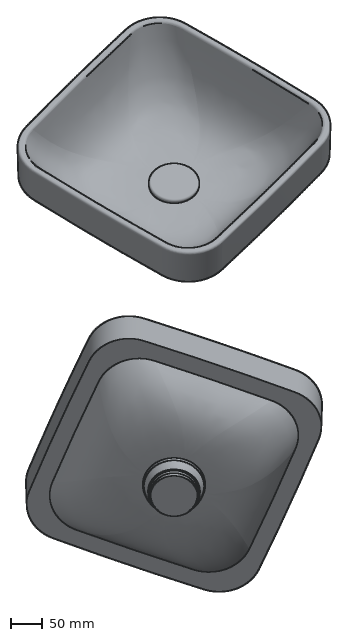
import cadquery as cq
import math


half_width = 200.0
total_height = 167.0
skirt_height = 71.0
skirt_draft = 1.0
rim_half_width = 188.5
wall = 12.0

side_radius = 5198.0
rim_corner_centre = 128.0
corner_power = 2.5

bowl_power = 5
bowl_floor = 120.0
bowl_floor_half_width = 44.0
under_floor = bowl_floor + wall
under_top_half_width = 198.5
bowl_section_count = 9
buried_half_width = 174.0

rim_outer_fillet = 4.0
rim_inner_fillet = 4.8

neck_top_radius = 50.0
neck_belt_radius = 48.0
belt_top_depth = 136.5
belt_bottom_depth = 140.8
neck_shoulder_radius = 41.5
neck_shoulder_depth = 153.5
neck_shoulder_bulge = 0.8
neck_collar_radius = 39.0
tail_radius = 37.5
tail_top_depth = 158.7

cover_radius = 40.5
cover_top_depth = 114.5
cover_thickness = 12.0
cover_fillet = 3.5
seat_depth = cover_top_depth + cover_thickness

selection_margin = 0.5
seat_fillet = 1.0


def quarter_turned(x, y, quarter):
    """Point turned about Z by a number of quarter turns."""
    for _ in range(quarter):
        x, y = -y, x
    return (x, y)


def rounded_square(half, depth):
    """Square wire of bulging sides and tangent corner arcs, at the given depth below the rim."""
    squareness = min(1, half / rim_half_width) ** corner_power
    corner_centre = rim_corner_centre * squareness
    side_centre = half - side_radius
    centre_gap = math.hypot(corner_centre, corner_centre - side_centre)
    corner_radius = side_radius - centre_gap
    tangent_along = side_radius * corner_centre / centre_gap
    tangent_out = side_centre + side_radius * (corner_centre - side_centre) / centre_gap
    corner_mid = corner_centre + corner_radius / math.sqrt(2)

    outline = cq.Workplane("XY", origin=(0, 0, -depth)).moveTo(tangent_out, -tangent_along)
    for quarter in range(4):
        side_mid = quarter_turned(half, 0, quarter)
        corner_start = quarter_turned(tangent_out, tangent_along, quarter)
        corner_peak = quarter_turned(corner_mid, corner_mid, quarter)
        corner_end = quarter_turned(tangent_along, tangent_out, quarter)
        outline = outline.threePointArc(side_mid, corner_start).threePointArc(corner_peak, corner_end)
    return outline.close().val()


def bowl_solid(bottom_half, top_half, floor, full_half):
    """Solid filled by the bowl surface between two half widths."""
    sections = []
    for index in range(bowl_section_count):
        half = bottom_half + (top_half - bottom_half) * index / (bowl_section_count - 1)
        depth = floor * (1 - (half / full_half) ** bowl_power)
        sections.append(rounded_square(half, depth))
    return cq.Workplane(cq.Solid.makeLoft(sections))


def make_skirt():
    """Slightly drafted rim block with a rounded top edge."""
    bottom = rounded_square(half_width - skirt_draft, skirt_height)
    draft_slope = skirt_draft / (skirt_height - rim_outer_fillet)
    top = rounded_square(half_width + draft_slope * rim_outer_fillet, 0)
    skirt = cq.Workplane(cq.Solid.makeLoft([bottom, top], True))
    return skirt.faces(">Z").edges().fillet(rim_outer_fillet)


def make_neck():
    """Stepped round drain neck below the bowl, with a rounded shoulder."""
    shoulder_mid_radius = (neck_belt_radius + neck_shoulder_radius) / 2 + neck_shoulder_bulge
    shoulder_mid_depth = (belt_bottom_depth + neck_shoulder_depth) / 2 + neck_shoulder_bulge
    step = neck_collar_radius - tail_radius
    step_mid = step * (1 - 1 / math.sqrt(2))
    return (
        cq.Workplane("XZ")
        .moveTo(0, -bowl_floor)
        .lineTo(cover_radius, -bowl_floor)
        .lineTo(neck_top_radius, -under_floor)
        .lineTo(neck_belt_radius, -belt_top_depth)
        .lineTo(neck_belt_radius, -belt_bottom_depth)
        .threePointArc(
            (shoulder_mid_radius, -shoulder_mid_depth),
            (neck_shoulder_radius, -neck_shoulder_depth),
        )
        .lineTo(neck_collar_radius, -neck_shoulder_depth)
        .lineTo(neck_collar_radius, step - tail_top_depth)
        .threePointArc(
            (neck_collar_radius - step_mid, step_mid - tail_top_depth),
            (tail_radius, -tail_top_depth),
        )
        .lineTo(tail_radius, -total_height)
        .lineTo(0, -total_height)
        .close()
        .revolve(360, (0, 0, 0), (0, 1, 0))
    )


def edges_inside(half, depth):
    """Selector for the edges at one depth that lie within a centred square."""
    reach = half + selection_margin
    return cq.selectors.BoxSelector(
        (-reach, -reach, -depth - selection_margin),
        (reach, reach, -depth + selection_margin),
        boundingbox=True,
    )


def make_basin():
    """Skirt, bowl underside and neck in one piece, hollowed by the bowl and the cover seat."""
    underside = bowl_solid(neck_top_radius, buried_half_width, under_floor, under_top_half_width)
    hollow = bowl_solid(bowl_floor_half_width, rim_half_width, bowl_floor, rim_half_width)
    basin = make_skirt().union(underside).union(make_neck()).cut(hollow)

    basin = basin.edges(edges_inside(rim_half_width, 0)).fillet(rim_inner_fillet)

    seat = cq.Workplane("XY", origin=(0, 0, -seat_depth)).circle(cover_radius).extrude(cover_thickness)
    basin = basin.cut(seat)
    return basin.edges(edges_inside(cover_radius, bowl_floor)).fillet(seat_fillet)


def make_cover():
    """Round drain cover with a rounded top edge, resting in the seat."""
    cover = cq.Workplane("XY", origin=(0, 0, -seat_depth)).circle(cover_radius).extrude(cover_thickness)
    return cover.faces(">Z").edges().fillet(cover_fillet)


basin = make_basin()
drain_cover = make_cover()
result = cq.Compound.makeCompound([basin.val(), drain_cover.val()])